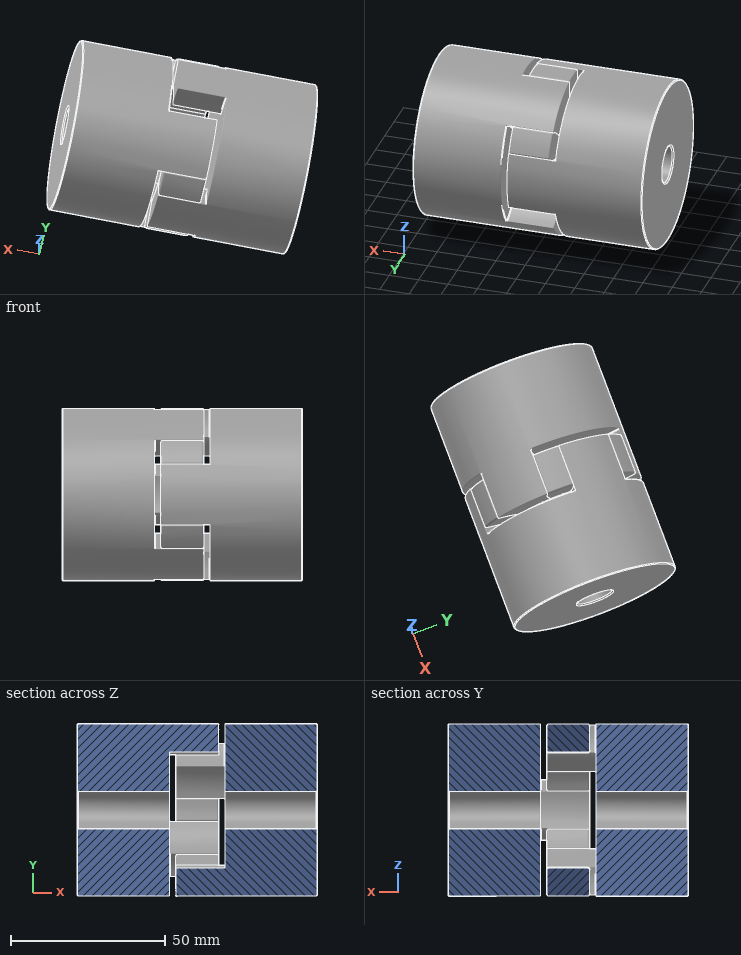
import cadquery as cq
import math

total_length = 78.0
outer_diameter = 56.0

hub_length = 30.0
bore_diameter = 12.0
rim_chamfer = 0.3
bore_chamfer = 0.5
jaw_round = 0.2

jaw_count = 3
jaw_inner_diameter = 37.6
cushion_length = 14.0
cushion_outer_width = 8.8
cushion_inner_width = 7.25
cushion_bulge = 0.55
cushion_round = 0.6

left_jaw_angle = 60.0
right_jaw_angle = 0.0
cushion_angles = [-90.0, -30.0, 30.0, 90.0, 150.0]

outer_radius = outer_diameter / 2
jaw_inner_radius = jaw_inner_diameter / 2
hub_face = total_length / 2 - hub_length
jaw_tip = cushion_length / 2
jaw_pitch = 360.0 / jaw_count
cushion_from_jaw = jaw_pitch / 4
outer_half_angle = math.degrees(math.asin(cushion_outer_width / 2 / outer_radius))
inner_half_angle = math.degrees(math.asin(cushion_inner_width / 2 / jaw_inner_radius))


def polar(radius, angle):
    """Point in the YZ plane at an angle from -Y towards +Z."""
    radians = math.radians(angle)
    return -radius * math.cos(radians), radius * math.sin(radians)


def cushion_side(angle, side):
    """Inner, middle and outer points of a bulging cushion side, towards lower (-1) or higher (+1) angles."""
    inner_y, inner_z = polar(jaw_inner_radius, angle + side * inner_half_angle)
    outer_y, outer_z = polar(outer_radius, angle + side * outer_half_angle)
    run_y = outer_y - inner_y
    run_z = outer_z - inner_z
    bulge_ratio = side * cushion_bulge / math.hypot(run_y, run_z)
    middle_y = (inner_y + outer_y) / 2 + bulge_ratio * run_z
    middle_z = (inner_z + outer_z) / 2 - bulge_ratio * run_y
    return (inner_y, inner_z), (middle_y, middle_z), (outer_y, outer_z)


def ring_segment(first_cushion, last_cushion, start_x, length):
    """Piece of the jaw ring from the low side of the first cushion to the high side of the last one."""
    first_inner, first_middle, first_outer = cushion_side(first_cushion, -1)
    last_inner, last_middle, last_outer = cushion_side(last_cushion, 1)
    center_angle = (first_cushion + last_cushion) / 2
    return (
        cq.Workplane("YZ", origin=(start_x, 0, 0))
        .moveTo(*first_inner)
        .threePointArc(first_middle, first_outer)
        .threePointArc(polar(outer_radius, center_angle), last_outer)
        .threePointArc(last_middle, last_inner)
        .threePointArc(polar(jaw_inner_radius, center_angle), first_inner)
        .close()
        .extrude(length)
    )


def make_hub(outward, first_jaw_angle):
    """Bored hub with its plain end towards -X (outward = -1) or +X (+1) and its jaws facing inward."""
    end_x = outward * total_length / 2
    face_x = outward * hub_face
    tip_x = -outward * jaw_tip
    jaw_length = tip_x - face_x

    hub = (
        cq.Workplane("YZ", origin=(end_x, 0, 0))
        .circle(outer_radius)
        .circle(bore_diameter / 2)
        .extrude(tip_x - end_x)
    )

    center_space = cq.Workplane("YZ", origin=(face_x, 0, 0)).circle(jaw_inner_radius).extrude(jaw_length)
    hub = hub.cut(center_space)

    for index in range(jaw_count):
        jaw_angle = first_jaw_angle + index * jaw_pitch
        first_cushion = jaw_angle + cushion_from_jaw
        last_cushion = jaw_angle + jaw_pitch - cushion_from_jaw
        hub = hub.cut(ring_segment(first_cushion, last_cushion, face_x, jaw_length))

    plain_end = "<X" if outward < 0 else ">X"
    hub = hub.edges(f"not {plain_end}").fillet(jaw_round)
    hub = hub.faces(plain_end).edges(cq.selectors.RadiusNthSelector(-1)).chamfer(rim_chamfer)
    return hub.faces(plain_end).edges(cq.selectors.RadiusNthSelector(0)).chamfer(bore_chamfer)


def make_cushion(angle):
    """Rounded wedge block filling the gap between two neighbouring jaws."""
    return ring_segment(angle, angle, -jaw_tip, cushion_length).edges().fillet(cushion_round)


left_hub = make_hub(-1, left_jaw_angle)
right_hub = make_hub(1, right_jaw_angle)
cushions = [make_cushion(angle) for angle in cushion_angles]

result = cq.Compound.makeCompound(
    [
        left_hub.solids().val(),
        right_hub.solids().val(),
        *[cushion.solids().val() for cushion in cushions],
    ]
)